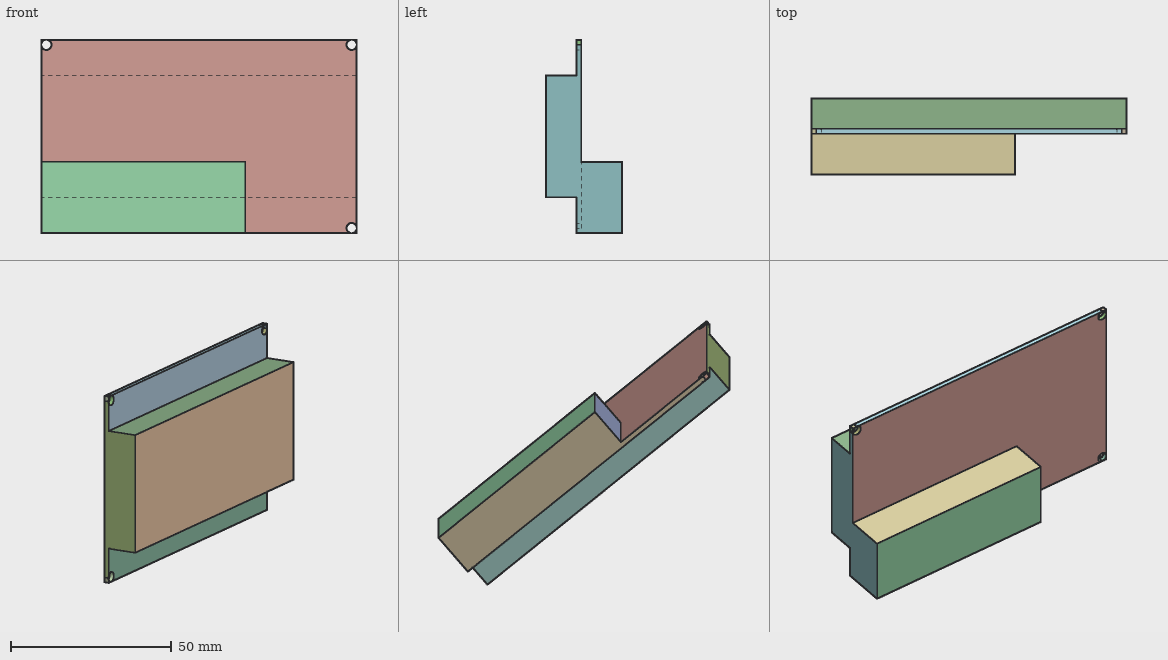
import cadquery as cq
import math

width = 98.4
height = 60.3
plate_thickness = 1.6
hole_radius = 1.6

rear_block_depth = 9.5
rear_block_height = 38.1

front_block_width = 63.6
front_block_depth = 12.7
front_block_height = 22.2

rear_block_bottom = (height - rear_block_height) / 2
arc_offset = hole_radius / math.sqrt(2)

lower_right = (width, 0, -1, 1)
upper_right = (width, height, -1, -1)
upper_left = (0, height, 1, -1)


def plate_sketch():
    """Workplane on the plate's front face, with local X, Y along global X, Z."""
    return cq.Workplane("XZ")


def hole_points(corner):
    """Tangent points on the horizontal and vertical edges, then the arc's nearest and
    farthest points from the corner."""
    x, z, inward_x, inward_z = corner
    on_horizontal_edge = (x + inward_x * hole_radius, z)
    on_vertical_edge = (x, z + inward_z * hole_radius)
    near = hole_radius - arc_offset
    far = hole_radius + arc_offset
    near_point = (x + inward_x * near, z + inward_z * near)
    far_point = (x + inward_x * far, z + inward_z * far)
    return on_horizontal_edge, on_vertical_edge, near_point, far_point


def make_board():
    """Plate with its two blocks; three corners end in the inner three quarters of a hole."""
    lr_horizontal, lr_vertical, _, lr_far = hole_points(lower_right)
    ur_horizontal, ur_vertical, _, ur_far = hole_points(upper_right)
    ul_horizontal, ul_vertical, _, ul_far = hole_points(upper_left)
    plate = (
        plate_sketch()
        .moveTo(0, 0)
        .lineTo(*lr_horizontal)
        .threePointArc(lr_far, lr_vertical)
        .lineTo(*ur_vertical)
        .threePointArc(ur_far, ur_horizontal)
        .lineTo(*ul_horizontal)
        .threePointArc(ul_far, ul_vertical)
        .close()
        .extrude(-plate_thickness)
    )
    rear_block = cq.Workplane("XY").box(
        width, rear_block_depth, rear_block_height, centered=False
    ).translate((0, plate_thickness, rear_block_bottom))
    front_block = cq.Workplane("XY").box(
        front_block_width, front_block_depth, front_block_height, centered=False
    ).translate((0, -front_block_depth, 0))
    return plate.union(rear_block).union(front_block).clean()


def make_corner_chip(corner):
    """Piece of plate left between a hole and its corner, cut off by the tangent hole."""
    x, z, _, _ = corner
    on_horizontal_edge, on_vertical_edge, near_point, _ = hole_points(corner)
    return (
        plate_sketch()
        .moveTo(x, z)
        .lineTo(*on_horizontal_edge)
        .threePointArc(near_point, on_vertical_edge)
        .close()
        .extrude(-plate_thickness)
    )


board = make_board()
corner_chips = [make_corner_chip(corner) for corner in (lower_right, upper_right, upper_left)]

result = cq.Compound.makeCompound([board.val(), *[chip.val() for chip in corner_chips]])